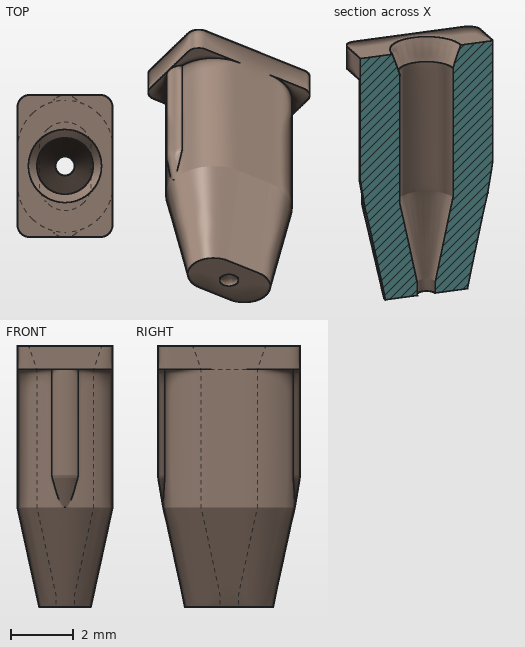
import cadquery as cq

total_height = 8.35
flange_width = 3.05
flange_length = 4.55
flange_thickness = 0.75
flange_corner_radius = 0.4

body_width = flange_width
flat_length = 1.17
shoulder_height = 3.19
foot_width = 1.65

rib_radius = 0.5
rib_cone_height = 0.985
rib_blend_radius = 0.5

mouth_radius = 1.17
throat_radius = 0.9
outlet_radius = 0.3
mouth_depth = flange_thickness
outlet_length = 0.42

flange_bottom = total_height - flange_thickness
body_half_length = (body_width + flat_length) / 2
rib_centre_y = flange_length / 2 - rib_radius
rib_tip_radius = body_half_length - rib_centre_y
rib_cone_top = shoulder_height + rib_cone_height


def slot_outline(plane, width):
    """Slot along Y whose straight sides keep the same length at any width."""
    return plane.slot2D(flat_length + width, width, 90)


def make_flange():
    return (
        cq.Workplane("XY", origin=(0, 0, flange_bottom))
        .rect(flange_width, flange_length)
        .extrude(flange_thickness)
        .edges("|Z")
        .fillet(flange_corner_radius)
    )


def make_body():
    column = slot_outline(
        cq.Workplane("XY", origin=(0, 0, shoulder_height)), body_width
    ).extrude(flange_bottom - shoulder_height)
    foot = slot_outline(cq.Workplane("XY"), foot_width)
    foot = slot_outline(foot.workplane(offset=shoulder_height), body_width).loft(ruled=True)
    return column.union(foot)


def make_rib(side):
    """Round bar with a conical end, on the +Y (side=1) or -Y (side=-1) end."""
    bar = (
        cq.Workplane("XZ")
        .moveTo(0, shoulder_height)
        .lineTo(rib_tip_radius, shoulder_height)
        .lineTo(rib_radius, rib_cone_top)
        .lineTo(rib_radius, flange_bottom)
        .lineTo(0, flange_bottom)
        .close()
        .revolve(360, (0, 0, 0), (0, 1, 0))
    )
    cone_edge = cq.selectors.NearestToPointSelector((0, 0, rib_cone_top))
    bar = bar.edges("%CIRCLE").edges(cone_edge).fillet(rib_blend_radius)
    return bar.translate((0, side * rib_centre_y, 0))


def make_bore():
    return (
        cq.Workplane("XZ")
        .moveTo(0, 0)
        .lineTo(outlet_radius, 0)
        .lineTo(outlet_radius, outlet_length)
        .lineTo(throat_radius, shoulder_height)
        .lineTo(throat_radius, total_height - mouth_depth)
        .lineTo(mouth_radius, total_height)
        .lineTo(0, total_height)
        .close()
        .revolve(360, (0, 0, 0), (0, 1, 0))
    )


result = make_body().union(make_flange())
for side in (-1, 1):
    result = result.union(make_rib(side))
result = result.cut(make_bore())